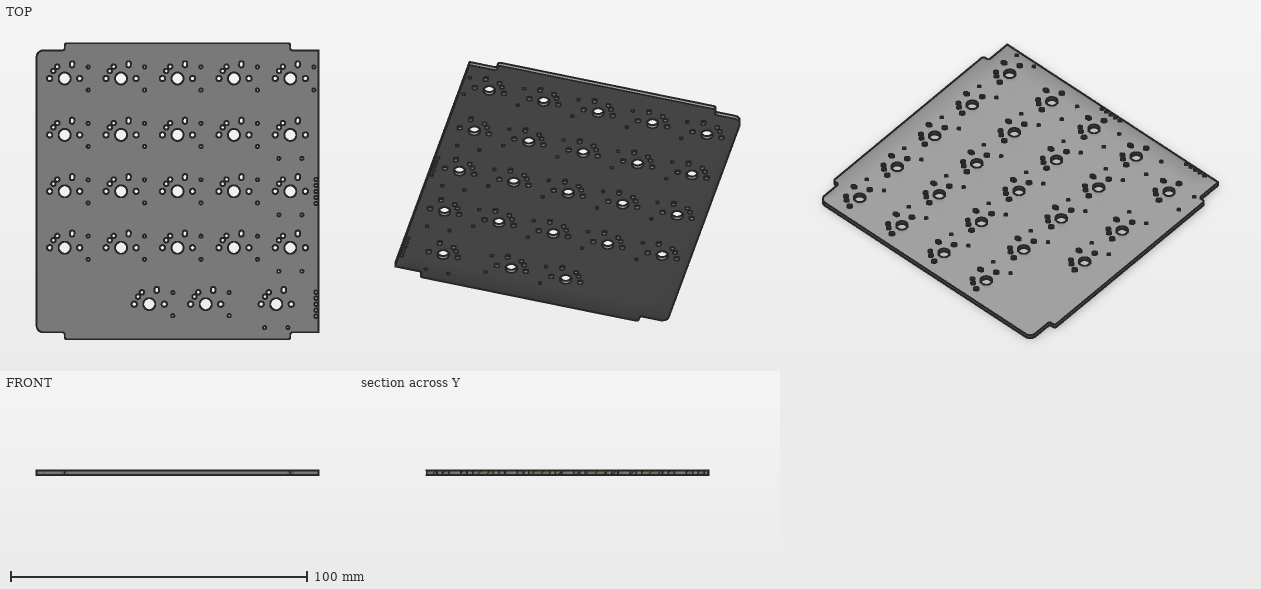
import cadquery as cq

KEY_PITCH = 19.05
COLUMNS = 5
FULL_ROWS = 4
THICKNESS = 1.6

BOARD_SIDE = COLUMNS * KEY_PITCH
HALF_SIDE = BOARD_SIDE / 2
CORNER_RADIUS = KEY_PITCH / 8
TAB_HEIGHT = KEY_PITCH / 8
TAB_LENGTH = BOARD_SIDE - KEY_PITCH
TAB_RADIUS = TAB_HEIGHT / 3

STEM_DIAMETER = 3.99
PEG_DIAMETER = 1.75
PEG_OFFSET = 5.08
PIN_DIAMETER = 1.47
LEFT_PIN_HOLES = [(-3.81, 2.54), (-2.5, 4.0)]
RIGHT_PIN_HOLES = [(2.5, 4.5), (2.54, 5.08)]

DIODE_DIAMETER = 1.0
DIODE_HALF_SPAN = 3.9
DIODE_OFFSET = KEY_PITCH * 5 / 12
CONNECTOR_DIAMETER = 1.09
CONNECTOR_PINS = 5
CONNECTOR_PITCH = 2.032
CONNECTOR_EDGE_DISTANCE = 0.87
CONNECTOR_DROP = 0.03

ROWS = FULL_ROWS + 1
FIRST_COLUMN_X = -(COLUMNS - 1) / 2 * KEY_PITCH
TOP_ROW_Y = (ROWS - 1) / 2 * KEY_PITCH
BOTTOM_ROW_Y = -TOP_ROW_Y
BOTTOM_ROW_COLUMNS = [-0.5, 0.5, 1.75]

grid_keys = [
    (FIRST_COLUMN_X + column * KEY_PITCH, TOP_ROW_Y - row * KEY_PITCH)
    for row in range(FULL_ROWS)
    for column in range(COLUMNS)
]
bottom_row_keys = [(position * KEY_PITCH, BOTTOM_ROW_Y) for position in BOTTOM_ROW_COLUMNS]
keys = grid_keys + bottom_row_keys

last_in_row = grid_keys[COLUMNS - 1::COLUMNS] + bottom_row_keys[-1:]
keys_with_diode_below = last_in_row[1:]
keys_with_diode_beside = [key for key in keys if key not in keys_with_diode_below]


def make_board():
    """Square plate, rounded on the left, with a shallow tab along the front and back edges."""
    plate = cq.Workplane("XY").box(BOARD_SIDE, BOARD_SIDE, THICKNESS)
    plate = plate.edges("|Z and <X").fillet(CORNER_RADIUS)
    tabs = cq.Workplane("XY").box(TAB_LENGTH, BOARD_SIDE + 2 * TAB_HEIGHT, THICKNESS)
    tabs = tabs.edges("|Z").fillet(TAB_RADIUS)
    board = plate.union(tabs)
    half_tab = TAB_LENGTH / 2
    reach = TAB_RADIUS / 2
    for side in (-1, 1):
        for end in (-1, 1):
            tab_root = cq.selectors.BoxSelector(
                (side * half_tab - reach, end * HALF_SIDE - reach, -THICKNESS),
                (side * half_tab + reach, end * HALF_SIDE + reach, THICKNESS),
            )
            board = board.edges("|Z").edges(tab_root).fillet(TAB_RADIUS)
    return board


def around(centres, offsets):
    """Every offset applied to every centre."""
    return [(x + dx, y + dy) for x, y in centres for dx, dy in offsets]


def drills(points, diameter):
    """Round cutters through the full thickness."""
    underside = cq.Workplane("XY").workplane(offset=-THICKNESS / 2)
    return underside.pushPoints(points).circle(diameter / 2).extrude(THICKNESS)


def cut_switches(board):
    """Stem hole, two pegs and four pin holes for every key."""
    board = board.cut(drills(keys, STEM_DIAMETER))
    board = board.cut(drills(around(keys, [(-PEG_OFFSET, 0), (PEG_OFFSET, 0)]), PEG_DIAMETER))
    for pin_hole in LEFT_PIN_HOLES + RIGHT_PIN_HOLES:
        board = board.cut(drills(around(keys, [pin_hole]), PIN_DIAMETER))
    return board


def cut_diodes(board):
    """A pair of lead holes per key, upright beside the key or lying below it."""
    beside = [(DIODE_OFFSET, -DIODE_HALF_SPAN), (DIODE_OFFSET, DIODE_HALF_SPAN)]
    below = [(-DIODE_HALF_SPAN, -DIODE_OFFSET), (DIODE_HALF_SPAN, -DIODE_OFFSET)]
    holes = around(keys_with_diode_beside, beside) + around(keys_with_diode_below, below)
    return board.cut(drills(holes, DIODE_DIAMETER))


def cut_connectors(board):
    """Two single-row connectors along the right edge, at mid-board and at the bottom row."""
    centres = [(HALF_SIDE - CONNECTOR_EDGE_DISTANCE, y - CONNECTOR_DROP) for y in (0, BOTTOM_ROW_Y)]
    middle_pin = (CONNECTOR_PINS - 1) / 2
    pins = [(0, (pin - middle_pin) * CONNECTOR_PITCH) for pin in range(CONNECTOR_PINS)]
    return board.cut(drills(around(centres, pins), CONNECTOR_DIAMETER))


result = cut_connectors(cut_diodes(cut_switches(make_board())))